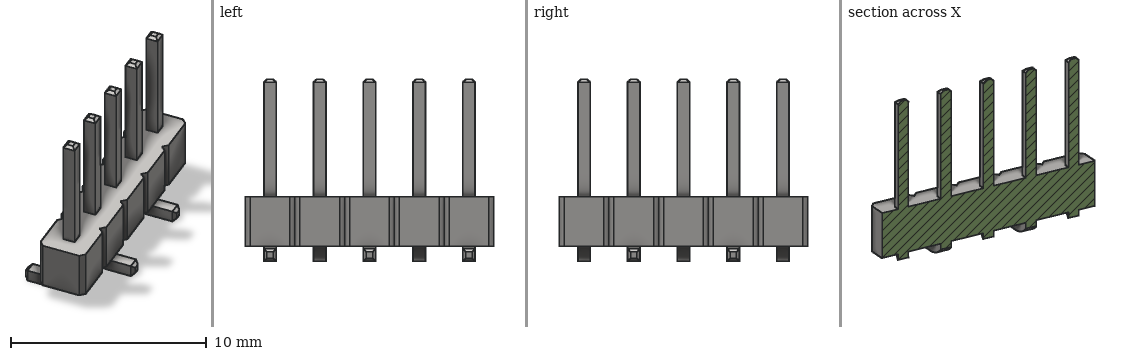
import cadquery as cq
import math

PIN_COUNT = 5
PITCH = 2.54

BODY_WIDTH = PITCH
BODY_HEIGHT = PITCH
BODY_BOTTOM = 0.76
BODY_TOP = BODY_BOTTOM + BODY_HEIGHT
CORNER_CHAMFER = PITCH / 10

PIN_SIZE = 0.64
PIN_EXPOSED_HEIGHT = 6.0
PIN_TOP = BODY_TOP + PIN_EXPOSED_HEIGHT
FOOT_REACH = 2.5
INNER_BEND_RADIUS = PIN_SIZE
OUTER_BEND_RADIUS = INNER_BEND_RADIUS + PIN_SIZE

TIP_INSET = PIN_SIZE / 4
TOP_TIP_LENGTH = 0.15
FOOT_TIP_LENGTH = 0.18


def make_body_segment(y_center):
    """One pitch-long block with its four upright corners chamfered."""
    return (
        cq.Workplane("XY")
        .box(BODY_WIDTH, PITCH, BODY_HEIGHT, centered=(True, True, False))
        .edges("|Z")
        .chamfer(CORNER_CHAMFER)
        .translate((0, y_center, BODY_BOTTOM))
    )


def make_tip(base_plane, length):
    """Truncated pyramid growing from a square pin end along the plane normal."""
    taper = math.degrees(math.atan2(TIP_INSET, length))
    return cq.Workplane(base_plane).rect(PIN_SIZE, PIN_SIZE).extrude(length, taper=taper)


def make_pin():
    """Upright pin on the Z axis whose foot points toward -X."""
    half = PIN_SIZE / 2
    bend_x = half - OUTER_BEND_RADIUS
    bend_z = OUTER_BEND_RADIUS
    foot_end = FOOT_TIP_LENGTH - FOOT_REACH
    shaft_end = PIN_TOP - TOP_TIP_LENGTH
    diagonal = math.sqrt(0.5)
    outer_mid = (bend_x + OUTER_BEND_RADIUS * diagonal, bend_z - OUTER_BEND_RADIUS * diagonal)
    inner_mid = (bend_x + INNER_BEND_RADIUS * diagonal, bend_z - INNER_BEND_RADIUS * diagonal)

    wire = (
        cq.Workplane("XZ")
        .moveTo(foot_end, 0)
        .lineTo(bend_x, 0)
        .threePointArc(outer_mid, (half, bend_z))
        .lineTo(half, shaft_end)
        .lineTo(-half, shaft_end)
        .lineTo(-half, bend_z)
        .threePointArc(inner_mid, (bend_x, PIN_SIZE))
        .lineTo(foot_end, PIN_SIZE)
        .close()
        .extrude(half, both=True)
    )
    top_plane = cq.Plane(origin=(0, 0, shaft_end), xDir=(1, 0, 0), normal=(0, 0, 1))
    foot_plane = cq.Plane(origin=(foot_end, 0, half), xDir=(0, 1, 0), normal=(-1, 0, 0))
    top_tip = make_tip(top_plane, TOP_TIP_LENGTH)
    foot_tip = make_tip(foot_plane, FOOT_TIP_LENGTH)
    return wire.union(top_tip).union(foot_tip)


left_pin = make_pin()
right_pin = left_pin.rotate((0, 0, 0), (0, 0, 1), 180)

result = cq.Workplane("XY")
for index in range(PIN_COUNT):
    y_center = (index - (PIN_COUNT - 1) / 2) * PITCH
    pin = left_pin if index % 2 == 0 else right_pin
    result = result.union(make_body_segment(y_center))
    result = result.union(pin.translate((0, y_center, 0)))
result = result.clean()